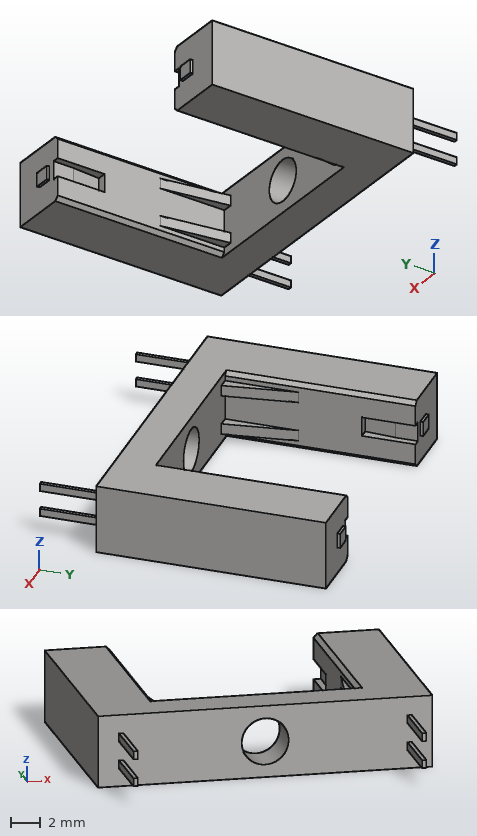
import cadquery as cq

width = 23.0
height = 5.0
depth = 16.3
arm_width = 4.5
base_depth = 2.8
arm_chamfer = 0.3
mount_hole_diameter = 3.22

slot_height = 1.4
slot_length = 3.8
slot_flat_length = 1.59
slot_depth = 0.5
slot_end_depth = 0.7
rib_width = 0.75
rib_length = 5.18
rib_thickness = 0.78
rib_pitch = 2.9

lead_length = 4.48
lead_width = 0.3
lead_height = 0.55
lead_pitch_x = 19.85
lead_pitch_z = 1.89
mark_width = 1.2
mark_height = 1.05
mark_thickness = 0.2
mark_pitch_x = 17.15

inner_x = width / 2 - arm_width


def prism_along_z(points, thickness, center_z):
    """Extrude an XY outline, centred on the given Z."""
    bottom = center_z - thickness / 2
    return cq.Workplane("XY").workplane(offset=bottom).polyline(points).close().extrude(thickness)


def box_along_y(size_x, length, size_z, center_x, start_y, center_z):
    """Make a bar that starts at start_y and runs toward +Y."""
    bar = cq.Workplane("XY").box(size_x, length, size_z, centered=(True, False, True))
    return bar.translate((center_x, start_y, center_z))


def housing():
    """Make the bored base and the two arms with chamfered inner edges."""
    body = box_along_y(width, depth, height, 0, 0, 0)
    gap_half_height = height / 2
    chamfer_z = gap_half_height - arm_chamfer
    flared_x = inner_x + arm_chamfer
    gap_profile = [
        (-flared_x, -gap_half_height),
        (flared_x, -gap_half_height),
        (inner_x, -chamfer_z),
        (inner_x, chamfer_z),
        (flared_x, gap_half_height),
        (-flared_x, gap_half_height),
        (-inner_x, chamfer_z),
        (-inner_x, -chamfer_z),
    ]
    gap = cq.Workplane("XZ").polyline(gap_profile).close().extrude(-(depth - base_depth))
    bore = cq.Workplane("XZ").circle(mount_hole_diameter / 2).extrude(-base_depth)
    return body.cut(gap.translate((0, base_depth, 0))).cut(bore)


def sensor_slot(side):
    """Make the open-ended slot cutter, whose floor deepens toward its closed end."""
    outline = [
        (side * inner_x, depth),
        (side * (inner_x + slot_depth), depth),
        (side * (inner_x + slot_depth), depth - slot_flat_length),
        (side * (inner_x + slot_end_depth), depth - slot_length),
        (side * inner_x, depth - slot_length),
    ]
    return prism_along_z(outline, slot_height, 0)


def rib(side, center_z):
    """Make a triangular rib in the corner between arm and base."""
    outline = [
        (side * inner_x, base_depth),
        (side * (inner_x - rib_width), base_depth),
        (side * inner_x, base_depth + rib_length),
    ]
    return prism_along_z(outline, rib_thickness, center_z)


result = housing()
for side in (-1, 1):
    result = result.cut(sensor_slot(side))
    mark_x = side * mark_pitch_x / 2
    result = result.union(box_along_y(mark_width, mark_thickness, mark_height, mark_x, depth, 0))
    for level in (-1, 1):
        result = result.union(rib(side, level * rib_pitch / 2))
        lead_x = side * lead_pitch_x / 2
        lead_z = level * lead_pitch_z / 2
        lead = box_along_y(lead_width, lead_length, lead_height, lead_x, -lead_length, lead_z)
        result = result.union(lead)